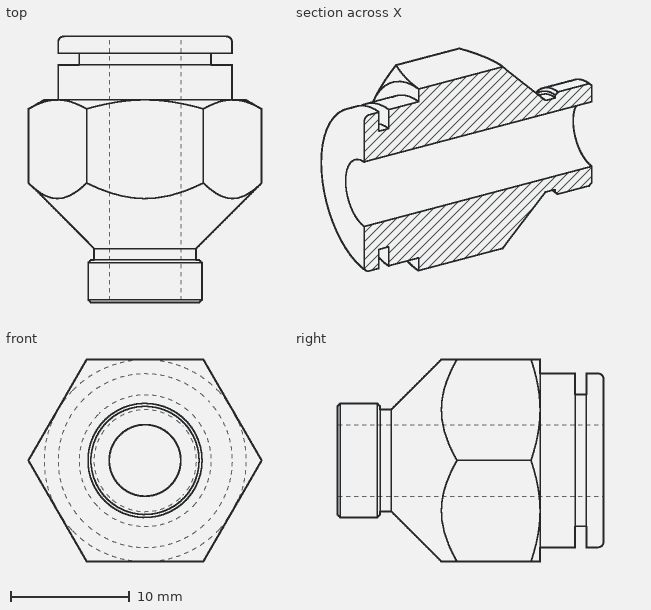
import cadquery as cq
import math

spigot_end = 3.6
neck_end = 4.55
hex_end = 17.05
shoulder_end = 20.0
groove_end = 20.95
length = 22.4

bore_d = 6.0
spigot_d = 9.6
neck_d = 8.6
hex_flats = 17.0
hex_corners = hex_flats / math.cos(math.radians(30))
envelope_margin = 1.0
shoulder_d = 14.65
groove_d = 11.1

spigot_chamfer = 0.25
collar_round = 0.5
hex_chamfer_angle = 30


def cylinder(diameter, start, end):
    """Solid cylinder around the Y axis between two stations."""
    return cq.Workplane("XZ", origin=(0, start, 0)).circle(diameter / 2).extrude(start - end)


def make_spigot():
    """Front spigot, chamfered at both ends, with the neck behind it."""
    spigot = cylinder(spigot_d, 0, spigot_end).faces("<Y or >Y").chamfer(spigot_chamfer)
    return spigot.union(cylinder(neck_d, spigot_end, neck_end))


def make_hex_body():
    """Hexagon with corners on the X axis, trimmed by a front and a rear cone."""
    prism = (
        cq.Workplane("XZ", origin=(0, neck_end, 0))
        .polygon(6, hex_corners)
        .extrude(neck_end - hex_end)
    )
    neck_r = neck_d / 2
    rear_r = hex_flats / 2
    envelope_r = hex_corners / 2 + envelope_margin
    front_cone_end = neck_end + envelope_r - neck_r
    rear_cone_start = hex_end - (envelope_r - rear_r) * math.tan(math.radians(hex_chamfer_angle))
    envelope = (
        cq.Workplane("XY")
        .moveTo(0, neck_end)
        .lineTo(neck_r, neck_end)
        .lineTo(envelope_r, front_cone_end)
        .lineTo(envelope_r, rear_cone_start)
        .lineTo(rear_r, hex_end)
        .lineTo(0, hex_end)
        .close()
        .revolve(360, (0, 0, 0), (0, 1, 0))
    )
    return prism.intersect(envelope)


def make_socket():
    """Rear shoulder, groove and end collar with a rounded outer edge."""
    shoulder = cylinder(shoulder_d, hex_end, shoulder_end)
    groove = cylinder(groove_d, shoulder_end, groove_end)
    collar = cylinder(shoulder_d, groove_end, length).faces(">Y").edges().fillet(collar_round)
    return shoulder.union(groove).union(collar)


body = make_spigot().union(make_hex_body()).union(make_socket())
result = body.cut(cylinder(bore_d, 0, length))